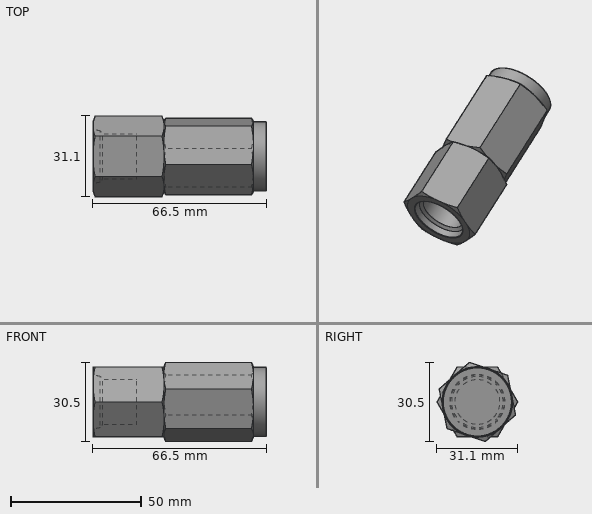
import cadquery as cq

TOTAL_LENGTH = 66.55
HEX_CORNER_DIAMETER = 31.1
CHAMFER_FACE_DIAMETER = 27.15
CHAMFER_LENGTH = 0.7

ADAPTER_LENGTH = 27.15

PORT_MOUTH_DIAMETER = 21.15
PORT_ENTRY_DIAMETER = 20.7
PORT_ENTRY_DEPTH = 0.2
TAPER_END_DIAMETER = 19.7
TAPER_END_DEPTH = 2.65
BORE_DIAMETER = 17.25
BORE_START_DEPTH = 3.65
BORE_DEPTH = 16.65

HOUSING_HEX_LENGTH = 34.35
HOUSING_LEAN = 11.3
COLLAR_DIAMETER = 26.7
COLLAR_CHAMFER = 0.25


def revolve_about_x(points):
    """Revolve a closed (x, radius) outline about the X axis."""
    return cq.Workplane("XY").polyline(points).close().revolve(360, (0, 0, 0), (1, 0, 0))


def chamfered_hexagon(start, length, turn):
    """Hexagonal bar along X; turn is the angle in degrees of one corner from +Y toward +Z."""
    end = start + length
    corner_radius = HEX_CORNER_DIAMETER / 2
    face_radius = CHAMFER_FACE_DIAMETER / 2
    bar = (
        cq.Workplane("YZ", origin=(start, 0, 0))
        .polygon(6, HEX_CORNER_DIAMETER)
        .extrude(length)
        .rotate((0, 0, 0), (1, 0, 0), turn)
    )
    envelope = revolve_about_x([
        (start, 0),
        (start, face_radius),
        (start + CHAMFER_LENGTH, corner_radius),
        (end - CHAMFER_LENGTH, corner_radius),
        (end, face_radius),
        (end, 0),
    ])
    return bar.intersect(envelope)


def inlet_port():
    """Cutter for the tapered mouth and the blind bore behind it."""
    return revolve_about_x([
        (0, 0),
        (0, PORT_MOUTH_DIAMETER / 2),
        (PORT_ENTRY_DEPTH, PORT_ENTRY_DIAMETER / 2),
        (TAPER_END_DEPTH, TAPER_END_DIAMETER / 2),
        (BORE_START_DEPTH, BORE_DIAMETER / 2),
        (BORE_DEPTH, BORE_DIAMETER / 2),
        (BORE_DEPTH, 0),
    ])


def make_adapter():
    """Hexagonal inlet end with two level flats and a blind port."""
    return chamfered_hexagon(0, ADAPTER_LENGTH, 0).cut(inlet_port())


def make_housing():
    """Hexagonal housing that butts against the adapter and ends in a round collar."""
    hexagon = chamfered_hexagon(ADAPTER_LENGTH, HOUSING_HEX_LENGTH, 90 + HOUSING_LEAN)
    collar_start = ADAPTER_LENGTH + HOUSING_HEX_LENGTH
    collar = (
        cq.Workplane("YZ", origin=(collar_start, 0, 0))
        .circle(COLLAR_DIAMETER / 2)
        .extrude(TOTAL_LENGTH - collar_start)
        .faces(">X")
        .chamfer(COLLAR_CHAMFER)
    )
    return hexagon.union(collar)


adapter = make_adapter()
housing = make_housing()
result = cq.Compound.makeCompound([adapter.val(), housing.val()])